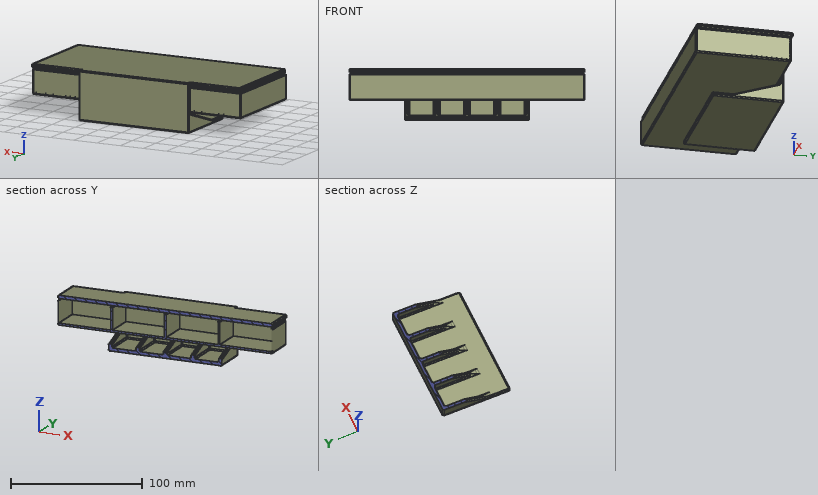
import cadquery as cq
CHAMFER = 1.0

TRAY_WIDTH = 180.0
TRAY_DEPTH = 75.0
TRAY_HEIGHT = 20.0
TRAY_WALL = 1.0
DIVIDER = 2.0
TRAY_FLOOR = 2.0
COMPARTMENTS = 4
RIM_CHAMFER = 0.5

SHEET = 3 * CHAMFER
TOTAL_DEPTH = 79.5
TOTAL_HEIGHT = 39.5
WALL_WIDTH = 95.2
COVER_SETBACK = 1.0
COVER_GAP = 1.3
FOOT_DEPTH = 56.3
RIB_DEPTH = 36.4
RIB_TOP = 15.1
POCKETS = 4

BACK = TOTAL_DEPTH
WALL_FRONT = BACK - SHEET
FOOT_FRONT = BACK - FOOT_DEPTH
RIB_FRONT = WALL_FRONT - RIB_DEPTH
COVER_BOTTOM = TOTAL_HEIGHT - SHEET
TRAY_TOP = COVER_BOTTOM - COVER_GAP
TRAY_BOTTOM = TRAY_TOP - TRAY_HEIGHT


def block(width, y_front, y_back, z_bottom, z_top):
    """Box centred on X = 0 between the given Y and Z limits."""
    size = (width, y_back - y_front, z_top - z_bottom)
    body = cq.Workplane("XY").box(*size, centered=(True, False, False))
    return body.translate((0, y_front, z_bottom))


def row_offsets(count, pitch):
    """X positions of evenly spaced items, symmetric about X = 0."""
    return [(index - (count - 1) / 2) * pitch for index in range(count)]


def make_tray():
    """Open tray with a chamfered outer rim and a row of compartments."""
    body = block(TRAY_WIDTH, 0, TRAY_DEPTH, TRAY_BOTTOM, TRAY_TOP)
    body = body.edges("|Z or <Z").chamfer(CHAMFER).edges(">Z").chamfer(RIM_CHAMFER)
    pitch = (TRAY_WIDTH - 2 * TRAY_WALL + DIVIDER) / COMPARTMENTS
    compartment = block(
        pitch - DIVIDER, TRAY_WALL, TRAY_DEPTH - TRAY_WALL, TRAY_BOTTOM + TRAY_FLOOR, TRAY_TOP
    )
    for x_center in row_offsets(COMPARTMENTS, pitch):
        body = body.cut(compartment.translate((x_center, 0, 0)))
    return body


def make_spine():
    """C-shaped core as wide as the wall, with the rib corner still solid."""
    arm_front = (COVER_SETBACK + WALL_FRONT) / 2
    profile = [
        (BACK, 0),
        (BACK, TOTAL_HEIGHT),
        (arm_front, TOTAL_HEIGHT),
        (arm_front, COVER_BOTTOM),
        (WALL_FRONT, COVER_BOTTOM),
        (WALL_FRONT, RIB_TOP),
        (RIB_FRONT, SHEET),
        (FOOT_FRONT, SHEET),
        (FOOT_FRONT, 0),
    ]
    spine = cq.Workplane("YZ").polyline(profile).close().extrude(WALL_WIDTH / 2, both=True)
    return spine.edges().chamfer(CHAMFER)


def cut_pockets(spine):
    """Cut the rib corner into ribs, with chamfered pocket floors, corners and rims."""
    pitch = (WALL_WIDTH - SHEET) / POCKETS
    width = pitch - SHEET
    pocket = block(width, FOOT_FRONT + CHAMFER, WALL_FRONT, SHEET, COVER_BOTTOM - CHAMFER)
    pocket = pocket.edges("<Z or (|Z and >Y)").chamfer(CHAMFER)
    for x_center in row_offsets(POCKETS, pitch):
        spine = spine.cut(pocket.translate((x_center, 0, 0)))

    slope = cq.Vector(0, RIB_DEPTH, RIB_TOP - SHEET)
    half_row = WALL_WIDTH / 2 - SHEET
    between_outer_ribs = cq.selectors.BoxSelector(
        (-half_row - CHAMFER / 2, RIB_FRONT, 0), (half_row + CHAMFER / 2, BACK, COVER_BOTTOM)
    )
    along_slope = cq.selectors.ParallelDirSelector(slope)
    return spine.edges(between_outer_ribs).edges(along_slope).chamfer(CHAMFER)


def make_bracket():
    """Cover plate joined to the ribbed spine."""
    cover = block(TRAY_WIDTH, COVER_SETBACK, WALL_FRONT, COVER_BOTTOM, TOTAL_HEIGHT)
    cover = cover.edges().chamfer(CHAMFER)
    return cover.union(cut_pockets(make_spine()))


tray = make_tray()
bracket = make_bracket()

result = cq.Compound.makeCompound([tray.val(), *bracket.vals()])